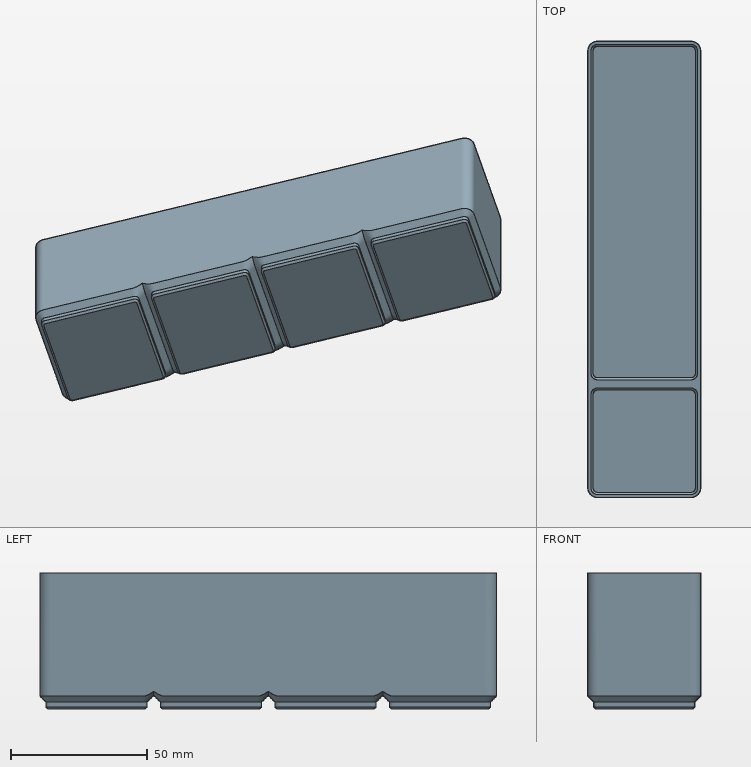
import cadquery as cq

cell_pitch = 42.0
cell_count = 4
cell_clearance = 0.5
body_width = cell_pitch - cell_clearance
body_length = cell_count * cell_pitch - cell_clearance
body_height = 50.0
body_corner_radius = 3.75

foot_chamfer = 0.8
foot_band_height = 1.8
foot_shoulder = 2.15
foot_width = body_width - 2 * foot_shoulder
foot_corner_radius = body_corner_radius - foot_shoulder
flare_start = foot_chamfer + foot_band_height
flare_height = 4.0

wall = 2.0
divider = 4.6
divider_y = -cell_pitch
floor_height = 7.0
compartment_width = body_width - 2 * wall
compartment_corner_radius = 1.6
rim_chamfer = 0.8


def rounded_block(width, length, height, radius):
    """Block standing on Z = 0 with rounded vertical edges."""
    return cq.Workplane("XY").rect(width, length).extrude(height).edges("|Z").fillet(radius)


def make_cell():
    """One cell: a foot flaring out into a full-height block larger than the cell pitch."""
    band = rounded_block(foot_width, foot_width, flare_start, foot_corner_radius)
    band = band.faces("<Z").chamfer(foot_chamfer)

    block_width = foot_width + 2 * flare_height
    block_radius = foot_corner_radius + flare_height
    block = rounded_block(block_width, block_width, body_height - flare_start, block_radius)
    block = block.faces("<Z").chamfer(flare_height)
    return band.union(block.translate((0, 0, flare_start)))


def make_body():
    """Solid body: a row of overlapping cells trimmed to one rounded outline."""
    body = cq.Workplane("XY")
    cell = make_cell()
    first_cell_y = -(cell_count - 1) * cell_pitch / 2
    for index in range(cell_count):
        body = body.union(cell.translate((0, first_cell_y + index * cell_pitch, 0)))
    outline = rounded_block(body_width, body_length, body_height, body_corner_radius)
    return body.intersect(outline).clean()


def make_compartment(start_y, end_y):
    """Cavity between two Y positions, widened by a 45 degree chamfer at the rim."""
    length = end_y - start_y
    depth = body_height - floor_height
    cavity = rounded_block(compartment_width, length, depth, compartment_corner_radius)

    mouth = rounded_block(
        compartment_width + 2 * rim_chamfer,
        length + 2 * rim_chamfer,
        2 * rim_chamfer,
        compartment_corner_radius + rim_chamfer,
    )
    mouth = mouth.faces("<Z").chamfer(rim_chamfer)
    cavity = cavity.union(mouth.translate((0, 0, depth - rim_chamfer)))
    return cavity.translate((0, (start_y + end_y) / 2, floor_height))


inner_end = body_length / 2 - wall
small_compartment = make_compartment(-inner_end, divider_y - divider / 2)
long_compartment = make_compartment(divider_y + divider / 2, inner_end)

result = make_body().cut(small_compartment).cut(long_compartment)